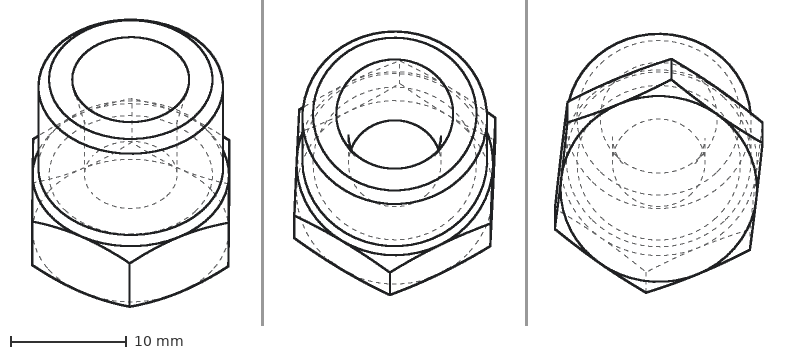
import cadquery as cq
import math

hex_sides = 6
half_side_angle = 180 / hex_sides
across_corners = 19.63
corner_radius = across_corners / 2
flat_radius = corner_radius * math.cos(math.radians(half_side_angle))
head_height = 7.0
head_chamfer_angle = 30.0

total_height = 19.0
shank_radius = 16.0 / 2
shank_chamfer_width = 0.92
shank_chamfer_height = 0.88

bore_radius = 8.0 / 2
mouth_radius = 10.13 / 2
taper_half_angle = 12.0
bore_depth = total_height - head_height


def revolve_profile(points):
    """Turn a closed (radius, height) profile around the Z axis."""
    return cq.Workplane("XZ").polyline(points).close().revolve(360, (0, 0, 0), (0, 1, 0))


def make_head():
    """Hexagon with two corners on Y, its corners trimmed by cones at both ends."""
    drop = (corner_radius - flat_radius) * math.tan(math.radians(head_chamfer_angle))
    hexagon = (
        cq.Workplane("XY")
        .polygon(hex_sides, across_corners)
        .extrude(head_height)
        .rotate((0, 0, 0), (0, 0, 1), half_side_angle)
    )
    envelope = revolve_profile([
        (0, 0),
        (flat_radius, 0),
        (corner_radius, drop),
        (corner_radius, head_height - drop),
        (flat_radius, head_height),
        (0, head_height),
    ])
    return hexagon.intersect(envelope)


def make_shank():
    """Cylinder on top of the head, beveled at both ends."""
    end_radius = shank_radius - shank_chamfer_width
    return revolve_profile([
        (0, head_height),
        (end_radius, head_height),
        (shank_radius, head_height + shank_chamfer_height),
        (shank_radius, total_height - shank_chamfer_height),
        (end_radius, total_height),
        (0, total_height),
    ])


def make_bore():
    """Conical mouth narrowing into a flat-bottomed cylindrical bore."""
    taper_depth = (mouth_radius - bore_radius) / math.tan(math.radians(taper_half_angle))
    floor = total_height - bore_depth
    return revolve_profile([
        (0, floor),
        (bore_radius, floor),
        (bore_radius, total_height - taper_depth),
        (mouth_radius, total_height),
        (0, total_height),
    ])


result = make_head().union(make_shank()).cut(make_bore())